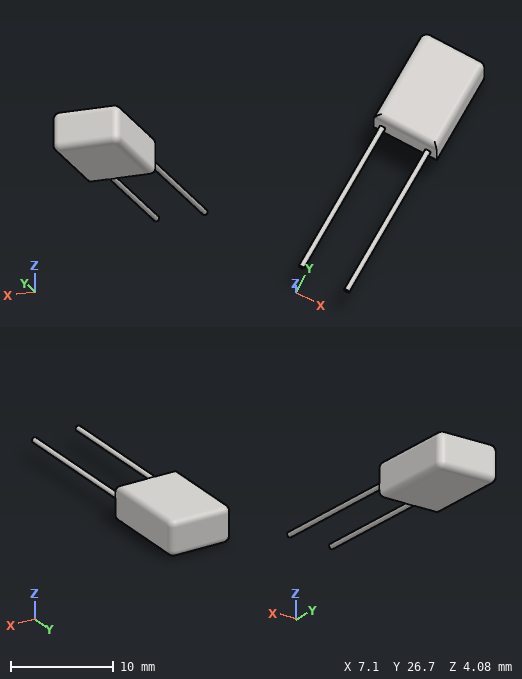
import cadquery as cq

overall_length = 26.68
case_width = 7.1
case_length = 10.2
case_height = 4.08
edge_radius = 0.75

lead_diameter = 0.61
lead_spacing = 5.07
lead_length = overall_length - case_length


def make_case():
    """Box with rounded edges; only the upright edges of the lead face stay sharp."""
    block = cq.Workplane("XY").box(case_width, case_length, case_height, centered=(True, False, True))
    rounded_edges = "(#Z) or (|Z and >Y)"
    return block.edges(rounded_edges).fillet(edge_radius)


def make_lead(x):
    """Straight wire at the mid-height of the case, starting on the lead face."""
    return cq.Workplane("XZ").center(x, 0).circle(lead_diameter / 2).extrude(lead_length)


case = make_case()
leads = [make_lead(side * lead_spacing / 2) for side in (-1, 1)]

result = cq.Compound.makeCompound([case.val(), *(lead.val() for lead in leads)])